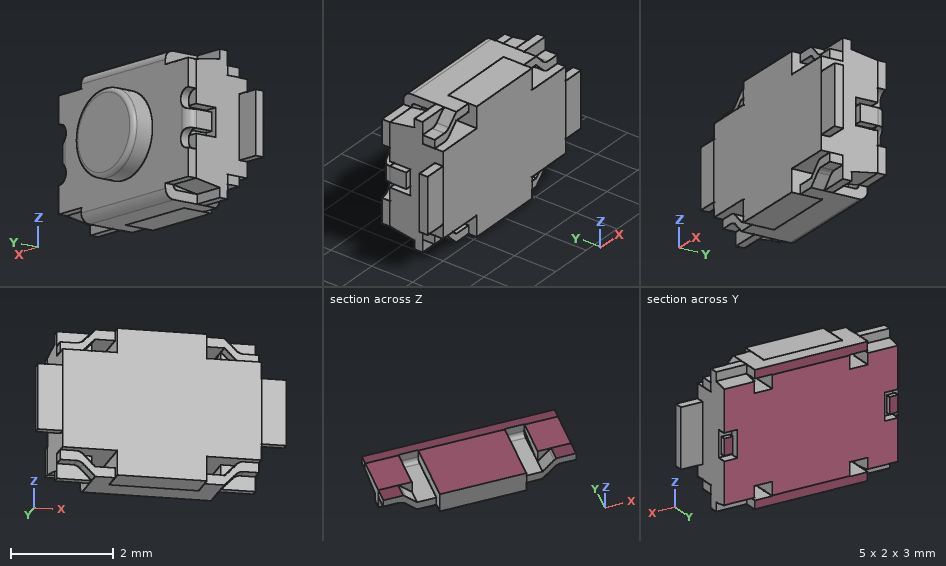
import cadquery as cq


body_length = 4.0
body_width = 3.0
cover_top = 1.5
sheet = 0.2
half_length = body_length / 2
half_width = body_width / 2
housing_top = cover_top - sheet

core_half_width = 1.0
tongue_half_length = 0.9
tongue_height = 0.7
block_start = 1.3
ledge_bottom = 0.5
ledge_top = tongue_height
block_foot_half_width = 1.3
block_top_half_width = 1.2

bend_outer_radius = 0.2
bend_inner_radius = 0.1
flange_inside = half_width - sheet
leg_foot = 0.2
wing_drop = 0.3
wing_bend_radius = 0.2

tab_half_width = 0.19
tab_foot = 0.9
tab_clearance = 0.1
recess_half_width = 0.3
relief_radius = 0.21
relief_depth = 0.23

button_radius = 0.9
button_top = 2.0
button_edge_radius = 0.1

terminal_length = 0.5
terminal_half_width = 0.67
terminal_thickness = 0.2

SIDES = (-1, 1)


def box(x_range, y_range, z_range):
    """Box between the given limits on each axis."""
    size = [high - low for low, high in (x_range, y_range, z_range)]
    corner = cq.Vector(x_range[0], y_range[0], z_range[0])
    return cq.Workplane(cq.Solid.makeBox(*size, corner))


def symmetric(half):
    """Limits of a span centred on zero."""
    return (-half, half)


def prism_along_x(points, x_range):
    """Prism along X from (y, z) corner points."""
    plane = cq.Workplane("YZ", origin=(x_range[0], 0, 0))
    return plane.polyline(points).close().extrude(x_range[1] - x_range[0])


def mirrored_four(shape):
    """The shape and its mirror images across the middle planes of X and Z."""
    pair = [shape, shape.mirror("YZ")]
    return pair + [half.mirror("XY") for half in pair]


def corner_block():
    """Tapered block with a full-width ledge at its foot, at the +X +Z corner."""
    profile = [
        (ledge_bottom, core_half_width),
        (ledge_bottom, half_width),
        (ledge_top, half_width),
        (ledge_top, block_foot_half_width),
        (housing_top, block_top_half_width),
        (housing_top, core_half_width),
    ]
    return prism_along_x(profile, (block_start, half_length))


def make_housing():
    """Core with side tongues, a lining under the cover, corner blocks and a recess at each end."""
    housing = box(symmetric(half_length), (0, housing_top), symmetric(core_half_width))
    tongues = box(symmetric(tongue_half_length), (0, tongue_height), symmetric(half_width))
    lining = box(symmetric(tongue_half_length), (0, housing_top), symmetric(flange_inside))
    lining = lining.edges("|X and >Y").fillet(bend_inner_radius)
    housing = housing.union(tongues).union(lining)
    for block in mirrored_four(corner_block()):
        housing = housing.union(block)
    recess_end = half_length - sheet - tab_clearance
    recess = box(
        (recess_end, half_length),
        (tab_foot - tab_clearance, housing_top),
        symmetric(recess_half_width),
    )
    return housing.cut(recess).cut(recess.mirror("YZ"))


def cover_channel():
    """Channel folded from the top plate and two long flanges, rounded inside and outside."""
    x_range = symmetric(block_start)
    outside = box(x_range, (leg_foot, cover_top), symmetric(half_width))
    outside = outside.edges("|X and >Y").fillet(bend_outer_radius)
    inside = box(x_range, (leg_foot, housing_top), symmetric(flange_inside))
    inside = inside.edges("|X and >Y").fillet(bend_inner_radius)
    window = box(symmetric(tongue_half_length), (leg_foot, tongue_height), symmetric(half_width))
    return outside.cut(inside).cut(window)


def wing():
    """Strip from a flange leg, jogged inwards at 45 degrees, at the +X +Z corner."""
    jog_end = block_start + wing_drop
    strip = (
        cq.Workplane("XZ", origin=(0, leg_foot, 0))
        .moveTo(block_start, half_width)
        .lineTo(jog_end, half_width - wing_drop)
        .lineTo(half_length, half_width - wing_drop)
        .lineTo(half_length, flange_inside - wing_drop)
        .lineTo(jog_end, flange_inside - wing_drop)
        .lineTo(block_start, flange_inside)
        .close()
        .extrude(leg_foot - ledge_bottom)
    )
    nearest_bends = cq.selectors.BoxSelector(
        (jog_end - sheet / 2, 0, 0), (jog_end + sheet / 2, cover_top, half_width)
    )
    return strip.edges("|Y").edges(nearest_bends).fillet(wing_bend_radius)


def hook_tab():
    """Tab folded down over the +X end of the housing."""
    return box((half_length - sheet, half_length), (tab_foot, cover_top), symmetric(tab_half_width))


def relief(z_side):
    """Round-ended slot beside the +X tab."""
    centre_x = half_length - relief_depth + relief_radius
    centre_z = z_side * (tab_half_width + relief_radius)
    slot = box(
        (centre_x, half_length),
        (housing_top, cover_top),
        (centre_z - relief_radius, centre_z + relief_radius),
    )
    foot = cq.Vector(centre_x, housing_top, centre_z)
    round_end = cq.Solid.makeCylinder(relief_radius, sheet, foot, cq.Vector(0, 1, 0))
    return slot.union(cq.Workplane(round_end))


def tab_bend_waste():
    """Material outside the rounded bend at the root of the +X tab."""
    span = symmetric(tab_half_width + relief_radius)
    corner = box((half_length - bend_outer_radius, half_length), (housing_top, cover_top), span)
    bend = cq.Solid.makeCylinder(
        bend_outer_radius,
        span[1] - span[0],
        cq.Vector(half_length - bend_outer_radius, cover_top - bend_outer_radius, span[0]),
    )
    return corner.cut(cq.Workplane(bend))


def make_cover():
    """Sheet cover with flanges, corner wings and end tabs, carrying the round button."""
    cover = box(symmetric(half_length), (housing_top, cover_top), symmetric(block_top_half_width))
    cover = cover.union(cover_channel())
    for corner_wing in mirrored_four(wing()):
        cover = cover.union(corner_wing)
    tab = hook_tab()
    waste = tab_bend_waste()
    for z_side in SIDES:
        waste = waste.union(relief(z_side))
    cover = cover.union(tab).union(tab.mirror("YZ"))
    cover = cover.cut(waste).cut(waste.mirror("YZ"))
    button = (
        cq.Workplane("XZ", origin=(0, cover_top, 0))
        .circle(button_radius)
        .extrude(cover_top - button_top)
        .faces(">Y")
        .edges()
        .fillet(button_edge_radius)
    )
    return cover.union(button)


def make_terminal(side):
    """Flat solder terminal against one end of the housing."""
    inner = side * half_length
    outer = side * (half_length + terminal_length)
    x_range = (min(inner, outer), max(inner, outer))
    return box(x_range, (0, terminal_thickness), symmetric(terminal_half_width))


housing = make_housing()
cover = make_cover()
terminals = [make_terminal(side) for side in SIDES]

result = cq.Compound.makeCompound(
    [housing.val(), cover.val(), *[terminal.val() for terminal in terminals]]
)